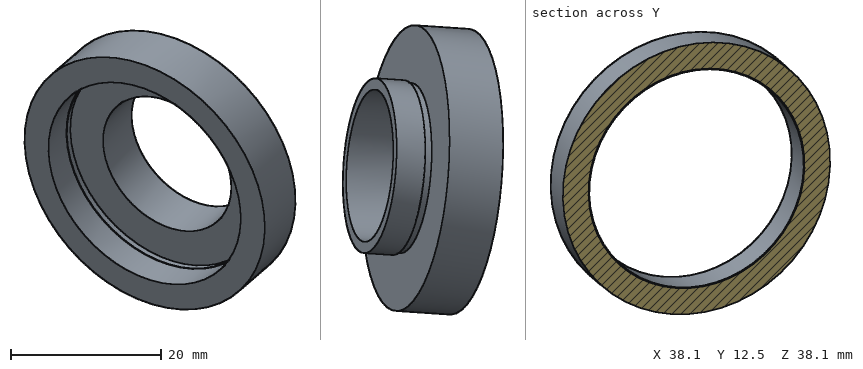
import cadquery as cq

flange_diameter = 38.1
flange_thickness = 7.5
total_length = 12.5
boss_diameter = 23.3
neck_diameter = 22.7
neck_length = 1.0
bore_diameter = 20.3

recess_diameter = 30.48
recess_depth = 5.5
groove_diameter = 30.67
groove_width = 1.0

front_y = -total_length / 2
flange_back_y = front_y + flange_thickness
neck_back_y = flange_back_y + neck_length
recess_floor_y = front_y + recess_depth


def disc(diameter, start_y, length):
    """Solid cylinder along +Y, starting at start_y."""
    axis_start = cq.Vector(0, start_y, 0)
    return cq.Workplane(cq.Solid.makeCylinder(diameter / 2, length, axis_start, cq.Vector(0, 1, 0)))


flange = disc(flange_diameter, front_y, flange_thickness)
neck = disc(neck_diameter, flange_back_y, neck_length)
boss = disc(boss_diameter, neck_back_y, total_length - flange_thickness - neck_length)
body = flange.union(neck).union(boss)

bore = disc(bore_diameter, front_y, total_length)
recess = disc(recess_diameter, front_y, recess_depth)
groove = disc(groove_diameter, recess_floor_y - groove_width, groove_width)

result = body.cut(bore).cut(recess).cut(groove)